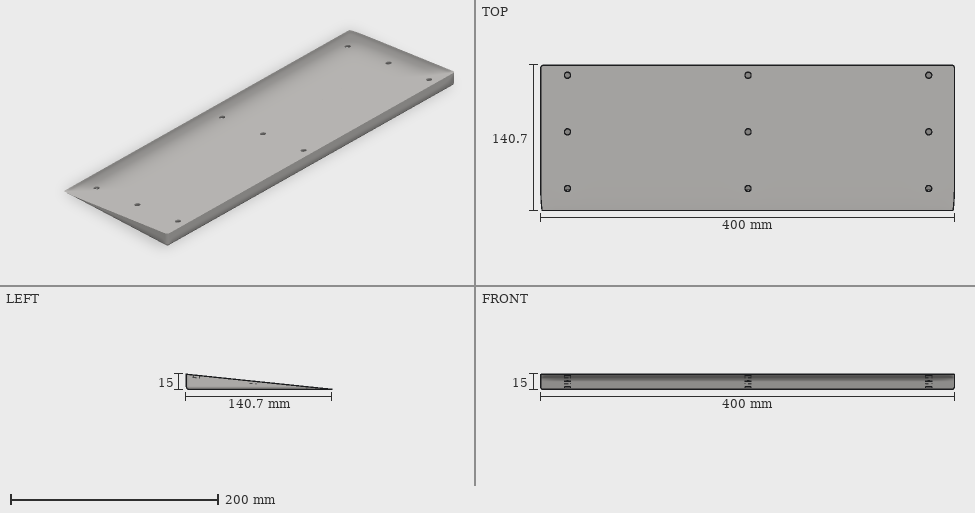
import cadquery as cq
import math

LENGTH = 400.0
DEPTH = 140.74
BACK_HEIGHT = 15.0
FRONT_HEIGHT = 0.445
EDGE_RADIUS = 3.0
HOLE_DIAMETER = 6.0
HOLE_DEPTH = 2.5
HOLE_COLUMN_PITCH = 174.5
LEFT_COLUMN_INSET = 26.0
HOLE_ROW_PITCH = 55.0
BACK_ROW_INSET = 10.0
HOLE_COLUMNS = 3
HOLE_ROWS = 3

SLOPE_ANGLE = math.degrees(math.atan2(BACK_HEIGHT - FRONT_HEIGHT, DEPTH))
MIDDLE_COLUMN_X = -LENGTH / 2 + LEFT_COLUMN_INSET + HOLE_COLUMN_PITCH
MIDDLE_ROW_OFFSET = BACK_ROW_INSET + HOLE_ROW_PITCH


def rounded_block():
    """Block with rounded back corners and rounded base edges, square along the front."""
    block = cq.Workplane("XY").box(LENGTH, DEPTH, BACK_HEIGHT, centered=(True, False, False))
    block = block.edges("|Z and >Y").fillet(EDGE_RADIUS)
    return block.faces("<Z").edges("not <Y").fillet(EDGE_RADIUS)


def sloped_top_frame():
    """Workplane on the sloped top: origin at its back edge, +Y up the slope."""
    return cq.Workplane("XY", origin=(0, DEPTH, BACK_HEIGHT)).transformed(rotate=(SLOPE_ANGLE, 0, 0))


def material_above_slope():
    """Slab resting on the sloped top, large enough to clear the block."""
    return sloped_top_frame().rect(2 * LENGTH, 4 * DEPTH).extrude(2 * BACK_HEIGHT)


def blind_holes():
    """Rows and columns of flat-bottomed holes, square to the sloped top."""
    return (
        sloped_top_frame()
        .center(MIDDLE_COLUMN_X, -MIDDLE_ROW_OFFSET)
        .rarray(HOLE_COLUMN_PITCH, HOLE_ROW_PITCH, HOLE_COLUMNS, HOLE_ROWS)
        .circle(HOLE_DIAMETER / 2)
        .extrude(-HOLE_DEPTH)
    )


result = rounded_block().cut(material_above_slope()).cut(blind_holes())